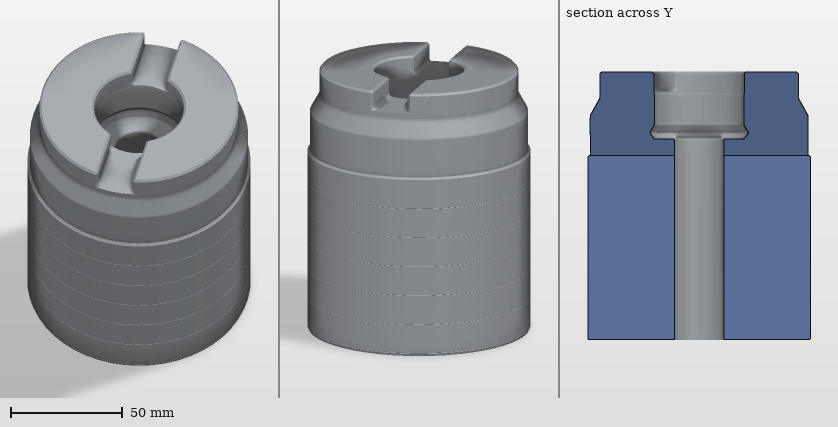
import cadquery as cq
import math

total_height = 120.0
cutter_diameter = 100.0
cutter_height = 82.7

screw_hole_diameter = 22.0
screw_hole_chamfer = 0.5

cutter_top_chamfer = 1.0
cutter_bottom_chamfer_width = 0.4
cutter_bottom_chamfer_height = 1.0
band_count = 6
lowest_groove_height = 1.3
groove_width = 0.2
groove_depth = 0.1

collar_diameter = 97.7
neck_diameter = 89.0
cone_bottom_height = 100.3
cone_top_height = 108.1
cone_blend_radius = 2.0
edge_chamfer = 1.0

bore_mouth_diameter = 40.2
bore_diameter = 40.0
bore_step_top_height = 110.5
bore_step_bottom_height = 109.5
relief_top_height = 96.1
relief_depth = 1.9
relief_taper_height = 3.4
relief_land = 0.5
bore_floor_height = 90.0

slot_width = 16.5
slot_depth = 9.0
slot_angle = -35.0
slot_floor_radius = 1.9
flare_length = 2.4
flare_angle = 45.0


def revolve_about_z(outline):
    """Full turn of a closed XZ outline about the Z axis."""
    return outline.revolve(360, (0, 0, 0), (0, 1, 0))


def make_cutter():
    """Cylinder split into bands by fine V grooves, with the screw hole along its axis."""
    radius = cutter_diameter / 2
    hole_radius = screw_hole_diameter / 2
    top_line_height = cutter_height - cutter_top_chamfer
    band_pitch = (top_line_height - lowest_groove_height) / band_count

    outline = cq.Workplane("XZ").moveTo(hole_radius, 0)
    outline = outline.lineTo(radius - cutter_bottom_chamfer_width, 0)
    outline = outline.lineTo(radius, cutter_bottom_chamfer_height)
    for index in range(band_count):
        groove_height = lowest_groove_height + index * band_pitch
        outline = outline.lineTo(radius, groove_height - groove_width / 2)
        outline = outline.lineTo(radius - groove_depth, groove_height)
        outline = outline.lineTo(radius, groove_height + groove_width / 2)
    outline = outline.lineTo(radius, top_line_height)
    outline = outline.lineTo(radius - cutter_top_chamfer, cutter_height)
    outline = outline.lineTo(hole_radius, cutter_height).close()
    return revolve_about_z(outline)


def make_shank_blank():
    """Collar, cone and neck as one turned solid, with the cone blended into both cylinders."""
    collar_radius = collar_diameter / 2
    neck_radius = neck_diameter / 2
    outline = (
        cq.Workplane("XZ")
        .moveTo(0, cutter_height)
        .lineTo(collar_radius, cutter_height)
        .lineTo(collar_radius, cone_bottom_height)
        .lineTo(neck_radius, cone_top_height)
        .lineTo(neck_radius, total_height)
        .lineTo(0, total_height)
        .close()
    )
    blank = revolve_about_z(outline)
    cone_rims = cq.selectors.BoxSelector(
        (-collar_radius, -collar_radius, cone_bottom_height - cone_blend_radius),
        (collar_radius, collar_radius, cone_top_height + cone_blend_radius),
    )
    return blank.edges(cone_rims).edges("%CIRCLE").fillet(cone_blend_radius)


def make_bore():
    """Stepped bore with a tapered relief groove just above its floor."""
    mouth_radius = bore_mouth_diameter / 2
    bore_radius = bore_diameter / 2
    relief_radius = bore_radius + relief_depth
    land_top_height = relief_top_height - relief_taper_height
    outline = (
        cq.Workplane("XZ")
        .moveTo(0, bore_floor_height)
        .lineTo(bore_radius, bore_floor_height)
        .lineTo(relief_radius, land_top_height - relief_land)
        .lineTo(relief_radius, land_top_height)
        .lineTo(bore_radius, relief_top_height)
        .lineTo(bore_radius, bore_step_bottom_height)
        .lineTo(mouth_radius, bore_step_top_height)
        .lineTo(mouth_radius, total_height)
        .lineTo(0, total_height)
        .close()
    )
    return revolve_about_z(outline)


def make_screw_hole():
    """Screw hole through the web below the bore, chamfered at the bore floor."""
    hole_radius = screw_hole_diameter / 2
    outline = (
        cq.Workplane("XZ")
        .moveTo(0, cutter_height)
        .lineTo(hole_radius, cutter_height)
        .lineTo(hole_radius, bore_floor_height - screw_hole_chamfer)
        .lineTo(hole_radius + screw_hole_chamfer, bore_floor_height)
        .lineTo(0, bore_floor_height)
        .close()
    )
    return revolve_about_z(outline)


def slot_profile(start):
    """Cross-section of the slot with rounded floor corners, in a plane at `start` along X."""
    half_width = slot_width / 2
    floor_height = total_height - slot_depth
    open_height = total_height + slot_depth
    return (
        cq.Workplane("YZ", origin=(start, 0, 0))
        .moveTo(-half_width, open_height)
        .lineTo(-half_width, floor_height + slot_floor_radius)
        .radiusArc((-half_width + slot_floor_radius, floor_height), -slot_floor_radius)
        .lineTo(half_width - slot_floor_radius, floor_height)
        .radiusArc((half_width, floor_height + slot_floor_radius), -slot_floor_radius)
        .lineTo(half_width, open_height)
        .close()
    )


def chord_distance(radius):
    """Distance from the axis, along the slot, to where a cylinder meets the wide edge of a flare."""
    return math.sqrt(radius**2 - (slot_width / 2 + edge_chamfer) ** 2)


def make_slot():
    """Slot along X whose wall ends widen at 45 degrees towards the bore and the neck."""
    slot = slot_profile(-cutter_diameter / 2).extrude(cutter_diameter)
    neck_flare_start = chord_distance(neck_diameter / 2) - edge_chamfer
    bore_flare_start = -chord_distance(bore_mouth_diameter / 2) - edge_chamfer
    for start in (neck_flare_start, bore_flare_start):
        flare = slot_profile(start).extrude(flare_length, taper=-flare_angle)
        slot = slot.union(flare).union(flare.rotate((0, 0, 0), (0, 0, 1), 180))
    above_floor = cq.Workplane("XY", origin=(0, 0, total_height - slot_depth))
    above_floor = above_floor.rect(2 * cutter_diameter, cutter_diameter).extrude(slot_depth)
    return slot.intersect(above_floor)


def make_shank():
    """Turned shank with its bore, screw hole and slot, chamfered around the top faces."""
    shank = make_shank_blank().cut(make_bore()).cut(make_screw_hole()).cut(make_slot())
    shank = shank.faces(">Z").edges().chamfer(edge_chamfer)
    return shank.rotate((0, 0, 0), (0, 0, 1), slot_angle)


cutter = make_cutter()
shank = make_shank()

result = cq.Compound.makeCompound([cutter.val(), shank.val()])